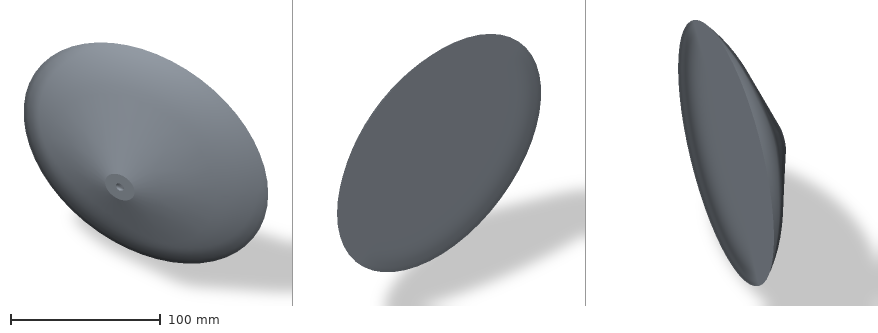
import cadquery as cq

rim_diameter = 182.71
rim_radius = rim_diameter / 2
dish_depth = 38.53
cone_base_radius = 62.2
cone_base_depth = 17.5
tip_radius = 11.0
rim_bulge = 1.5

hole_diameter = 6.0
hole_depth = 10.0


def make_dish():
    """Solid dish: flat tip, cone, then a convex band out to the sharp rim."""
    half_profile = (
        cq.Workplane("XY")
        .lineTo(0, -dish_depth)
        .lineTo(tip_radius, -dish_depth)
        .lineTo(cone_base_radius, -cone_base_depth)
        .sagittaArc((rim_radius, 0), -rim_bulge)
        .close()
    )
    return half_profile.revolve(360, (0, 0, 0), (0, 1, 0))


def make_tip_hole():
    """Cylinder running from the tip into the dish along +Y."""
    tip_center = cq.Vector(0, -dish_depth, 0)
    into_dish = cq.Vector(0, 1, 0)
    return cq.Solid.makeCylinder(hole_diameter / 2, hole_depth, tip_center, into_dish)


result = make_dish().cut(cq.Workplane(obj=make_tip_hole()))